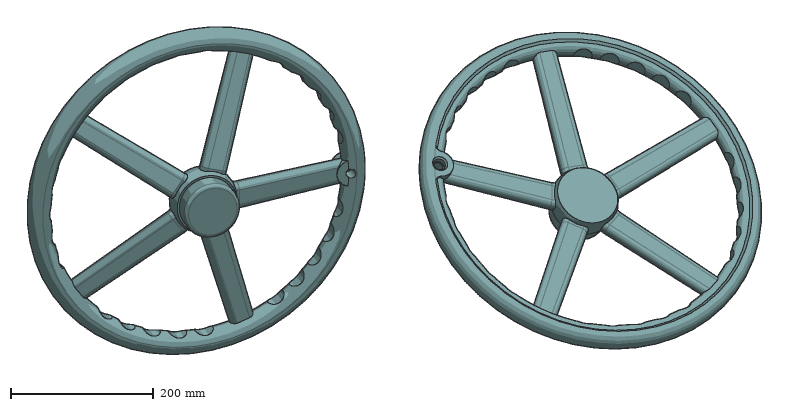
import cadquery as cq
import math


outer_radius = 250.0
rim_tube_radius = 17.0
rim_mid_x = rim_tube_radius
rim_center_radius = outer_radius - rim_tube_radius
rim_inner_radius = rim_center_radius - rim_tube_radius
grip_tube_radius = 13.5
grip_center_radius = rim_inner_radius + grip_tube_radius
grip_step_x = rim_mid_x - grip_tube_radius

scallop_radius = 19.5
scallop_depth = 5.0
scallops_per_gap = 5
scallop_pitch = 10.5

hub_front_x = 31.0
hub_back_x = 65.0
hub_end_radius = 44.0
hub_crown_radius = 48.5
boss_diameter = 82.0
boss_end_x = 91.0
boss_edge_fillet = 5.0

spoke_count = 5
spoke_pitch = 360 / spoke_count
spoke_hub_thickness = 20.0
spoke_rim_thickness = 17.5
spoke_edge_fillet = 8.5
spoke_hub_width = 40.0
spoke_rim_width = 36.0
spoke_inner_radius = 30.0
spoke_outer_radius = 225.0
spoke_bend_radius = 50.5
spoke_bend_x = 47.5
spoke_slope = 10.4

eye_center_y = 225.0
eye_radius = 20.0
eye_corner_fillet = 10.0
eye_back_x = 30.0
eye_hole_diameter = 13.5
eye_counterbore_diameter = 17.0
eye_counterbore_depth = 10.0
eye_countersink_diameter = 22.0


def axial_cylinder(radius, start_x, end_x, y=0.0):
    """Cylinder parallel to X with its axis through (y, z = 0)."""
    return cq.Workplane("YZ", origin=(start_x, y, 0)).circle(radius).extrude(end_x - start_x)


def spin(shape, angle):
    """Turn a shape about the wheel axis."""
    return shape.rotate((0, 0, 0), (1, 0, 0), angle)


def make_rim():
    diagonal = math.sqrt(0.5)
    return (
        cq.Workplane("XY")
        .moveTo(0, rim_center_radius)
        .threePointArc((rim_mid_x, outer_radius), (2 * rim_mid_x, rim_center_radius))
        .threePointArc(
            (rim_mid_x + rim_tube_radius * diagonal, rim_center_radius - rim_tube_radius * diagonal),
            (rim_mid_x, rim_inner_radius),
        )
        .threePointArc(
            (rim_mid_x - grip_tube_radius * diagonal, grip_center_radius - grip_tube_radius * diagonal),
            (grip_step_x, grip_center_radius),
        )
        .close()
        .revolve(360, (0, 0, 0), (1, 0, 0))
    )


def cut_scallops(body):
    scallop = axial_cylinder(
        scallop_radius, 0, 2 * rim_mid_x, rim_inner_radius + scallop_depth - scallop_radius
    )
    for gap in range(spoke_count):
        for index in range(scallops_per_gap):
            offset = (index - (scallops_per_gap - 1) / 2) * scallop_pitch
            body = body.cut(spin(scallop, (gap + 0.5) * spoke_pitch + offset))
    return body


def make_hub():
    barrel = (
        cq.Workplane("XY")
        .moveTo(hub_front_x, 0)
        .lineTo(hub_front_x, hub_end_radius)
        .threePointArc(((hub_front_x + hub_back_x) / 2, hub_crown_radius), (hub_back_x, hub_end_radius))
        .lineTo(hub_back_x, 0)
        .close()
        .revolve(360, (0, 0, 0), (1, 0, 0))
    )
    boss = axial_cylinder(boss_diameter / 2, hub_back_x, boss_end_x)
    return barrel.union(boss.faces(">X").edges().fillet(boss_edge_fillet))


def make_spoke():
    """Spoke along +Y: short radial root, then a tapered bar sloping to the rim."""
    slope = math.tan(math.radians(spoke_slope))
    root_half = spoke_hub_thickness / 2
    tip_half = spoke_rim_thickness / 2
    tip_x = spoke_bend_x - (spoke_outer_radius - spoke_bend_radius) * slope
    side = (
        cq.Workplane("XY", origin=(0, 0, -spoke_hub_width))
        .moveTo(spoke_bend_x - root_half, spoke_inner_radius)
        .lineTo(spoke_bend_x - root_half, spoke_bend_radius)
        .lineTo(tip_x - tip_half, spoke_outer_radius)
        .lineTo(tip_x + tip_half, spoke_outer_radius)
        .lineTo(spoke_bend_x + root_half, spoke_bend_radius)
        .lineTo(spoke_bend_x + root_half, spoke_inner_radius)
        .close()
        .extrude(2 * spoke_hub_width)
    )
    plan = (
        cq.Workplane("YZ")
        .moveTo(spoke_inner_radius, -spoke_hub_width / 2)
        .lineTo(spoke_outer_radius, -spoke_rim_width / 2)
        .lineTo(spoke_outer_radius, spoke_rim_width / 2)
        .lineTo(spoke_inner_radius, spoke_hub_width / 2)
        .close()
        .extrude(boss_end_x)
    )
    bar = side.intersect(plan)
    long_edges = bar.edges("not #Y")
    return long_edges.fillet(spoke_edge_fillet)


def make_eye():
    """Lug level with the rim face, flared into the rim by concave corners."""
    ring = axial_cylinder(outer_radius, 0, rim_mid_x).cut(
        axial_cylinder(rim_center_radius, 0, rim_mid_x)
    )
    lug = axial_cylinder(eye_radius, 0, rim_mid_x, eye_center_y)
    flared = ring.union(lug).edges("|X").fillet(eye_corner_fillet)
    back = axial_cylinder(eye_radius, rim_mid_x, eye_back_x, eye_center_y)
    return flared.union(back).intersect(axial_cylinder(rim_center_radius, 0, eye_back_x))


def cut_eye_hole(body):
    """Stepped through hole with a 45 degree chamfer at its mouth."""
    hole = axial_cylinder(eye_hole_diameter / 2, 0, 2 * rim_mid_x, eye_center_y)
    counterbore = axial_cylinder(eye_counterbore_diameter / 2, 0, eye_counterbore_depth, eye_center_y)
    mouth_chamfer = (eye_countersink_diameter - eye_counterbore_diameter) / 2
    mouth = (
        cq.Workplane("YZ", origin=(0, eye_center_y, 0))
        .circle(eye_countersink_diameter / 2)
        .extrude(mouth_chamfer, taper=45)
    )
    return body.cut(hole).cut(counterbore).cut(mouth)


wheel = cut_scallops(make_rim()).union(make_hub())
spoke = make_spoke()
for number in range(spoke_count):
    wheel = wheel.union(spin(spoke, number * spoke_pitch))
result = cut_eye_hole(wheel.union(make_eye()))